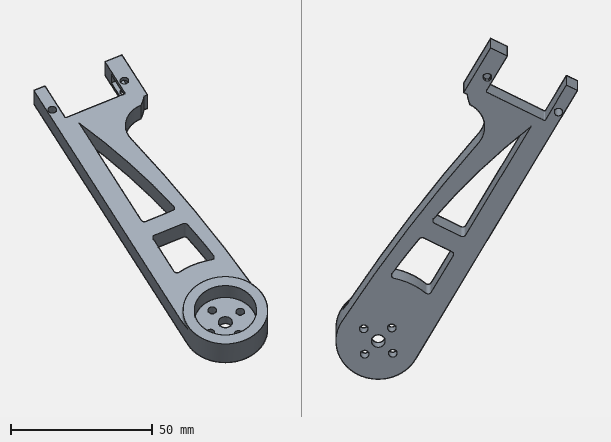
import cadquery as cq
import math

length = 135.0
width = 35.0
arm_thickness = 8.0
total_height = 11.0

ring_radius = 15.0
ring_x = length - ring_radius
ring_y = ring_radius
ring_fillet = 1.1
bore_diameter = 22.0
bore_floor = 4.0
centre_hole_diameter = 4.9
small_hole_diameter = 3.0
bolt_circle_radius = 7.0
bolt_count = 4
bolt_start_angle = 14.5

slot_depth = 15.9
slot_corner_radius = 0.4
lower_prong_width = 4.5
upper_prong_width = 6.8
prong_hole_x = 10.7
prong_hole_inset_low = 1.9
prong_hole_inset_high = 4.5

pocket_start_x = 5.0
pocket_length = 9.5
pocket_depth = 4.5
pocket_bottom = 1.5
pocket_height = 4.7

shoulder_x = 20.0
shoulder_drop = 1.4
shoulder_mid = (21.5, 32.4)
hollow_radius = 10.0
hollow_x = 33.1
hollow_y = 30.8
hollow_end_angle = math.radians(-82)

upper_edge_mid = (76.0, 26.7)
upper_edge_end_degrees = 93

window_bottom = 7.7
window_tip_x = 20.2
tapered_top_mid = (53.5, 17.7)
tapered_top_end = 20.9
square_top_start = 21.2
square_top_mid = (87.8, 22.7)
square_top_end = 24.0
rib_start_x = 69.9
rib_end_x = 76.8
window_end_radius = 25.2
window_corner_radius = 1.2


def cylinder(x, y, diameter, bottom, height):
    return cq.Workplane("XY", origin=(x, y, bottom)).circle(diameter / 2).extrude(height)


def polar_point(x, y, radius, angle):
    return (x + radius * math.cos(angle), y + radius * math.sin(angle))


def outline(height):
    """Arm silhouette, without the fork slot."""
    hollow_mid_angle = (3 * math.pi + hollow_end_angle) / 2
    upper_edge_end = polar_point(ring_x, ring_y, ring_radius, math.radians(upper_edge_end_degrees))
    hollow_start, hollow_mid, hollow_end = [
        polar_point(hollow_x, hollow_y, hollow_radius, angle)
        for angle in (math.pi, hollow_mid_angle, hollow_end_angle)
    ]
    return (
        cq.Workplane("XY")
        .lineTo(ring_x, 0)
        .threePointArc((length, ring_y), upper_edge_end)
        .threePointArc(upper_edge_mid, hollow_end)
        .threePointArc(hollow_mid, hollow_start)
        .threePointArc(shoulder_mid, (shoulder_x, width - shoulder_drop))
        .lineTo(shoulder_x, width)
        .lineTo(0, width)
        .close()
        .extrude(height)
    )


def space_above_arm():
    """Swept waste around the arm side of the ring, leaving a fillet at the foot of the ring."""
    fillet_top = arm_thickness + ring_fillet
    bend = ring_fillet * (1 - math.sqrt(0.5))
    sweep = 270 - upper_edge_end_degrees
    return (
        cq.Workplane("XZ")
        .moveTo(ring_radius, total_height)
        .lineTo(ring_radius, fillet_top)
        .threePointArc(
            (ring_radius + bend, arm_thickness + bend),
            (ring_radius + ring_fillet, arm_thickness),
        )
        .lineTo(length, arm_thickness)
        .lineTo(length, total_height)
        .close()
        .revolve(sweep, (0, 0, 0), (0, 1, 0))
        .rotate((0, 0, 0), (0, 0, 1), upper_edge_end_degrees)
        .translate((ring_x, ring_y, 0))
    )


def tapered_window():
    return (
        cq.Workplane("XY")
        .moveTo(window_tip_x, window_bottom)
        .threePointArc(tapered_top_mid, (rib_start_x, tapered_top_end))
        .lineTo(rib_start_x, window_bottom)
        .close()
        .extrude(arm_thickness)
        .edges("|Z and >X")
        .fillet(window_corner_radius)
    )


def square_window():
    """Window whose end wall is concentric with the ring."""
    end_round = cylinder(ring_x, ring_y, 2 * window_end_radius, 0, arm_thickness)
    return (
        cq.Workplane("XY")
        .moveTo(rib_end_x, window_bottom)
        .lineTo(rib_end_x, square_top_start)
        .threePointArc(square_top_mid, (ring_x - ring_radius, square_top_end))
        .lineTo(ring_x - ring_radius, window_bottom)
        .close()
        .extrude(arm_thickness)
        .cut(end_round)
        .edges("|Z")
        .fillet(window_corner_radius)
    )


def fork_slot():
    slot_width = width - lower_prong_width - upper_prong_width
    return (
        cq.Workplane("XY")
        .box(slot_depth, slot_width, arm_thickness, centered=False)
        .edges("|Z and >X")
        .fillet(slot_corner_radius)
        .translate((0, lower_prong_width, 0))
    )


def prong_pocket():
    return (
        cq.Workplane("XY")
        .box(pocket_length, pocket_depth, pocket_height, centered=False)
        .translate((pocket_start_x, width - upper_prong_width, pocket_bottom))
    )


result = outline(total_height).cut(space_above_arm())
result = result.cut(tapered_window()).cut(square_window()).cut(fork_slot()).cut(prong_pocket())

for hole_y in (prong_hole_inset_low, width - prong_hole_inset_high):
    result = result.cut(cylinder(prong_hole_x, hole_y, small_hole_diameter, 0, arm_thickness))

result = result.cut(cylinder(ring_x, ring_y, bore_diameter, bore_floor, total_height - bore_floor))
result = result.cut(cylinder(ring_x, ring_y, centre_hole_diameter, 0, bore_floor))
for index in range(bolt_count):
    angle = math.radians(bolt_start_angle + index * 360 / bolt_count)
    bolt_x, bolt_y = polar_point(ring_x, ring_y, bolt_circle_radius, angle)
    result = result.cut(cylinder(bolt_x, bolt_y, small_hole_diameter, 0, bore_floor))